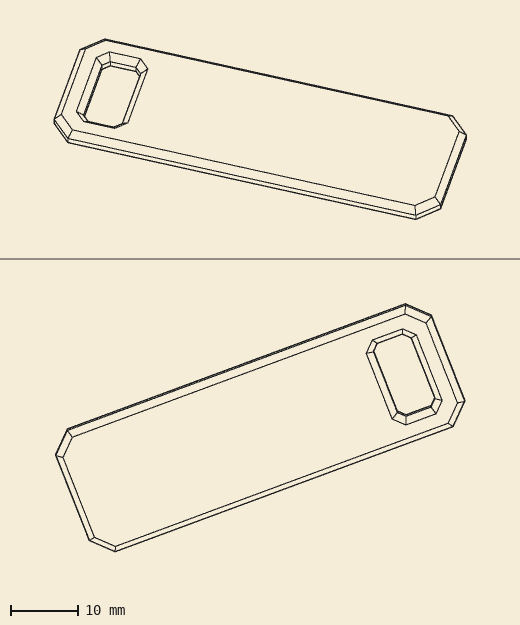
import cadquery as cq

length = 60.0
width = length / 3
thickness = 3.0
corner_cut = 3.0

bevel = thickness / 3

slot_width = 6.0
slot_length = 12.0
slot_corner_cut = bevel
slot_rim = 3.0
slot_center_x = -length / 2 + slot_rim + bevel + slot_width / 2


def cut_corner_block(size_x, size_y, cut):
    """Block of the plate's thickness, standing on Z = 0, with its four upright corners cut off."""
    block = cq.Workplane("XY").box(size_x, size_y, thickness, centered=(True, True, False))
    return block.edges("|Z").chamfer(cut)


plate = cut_corner_block(length, width, corner_cut)
slot = cut_corner_block(slot_width, slot_length, slot_corner_cut).translate((slot_center_x, 0, 0))

result = plate.cut(slot).faces("<Z or >Z").edges().chamfer(bevel)